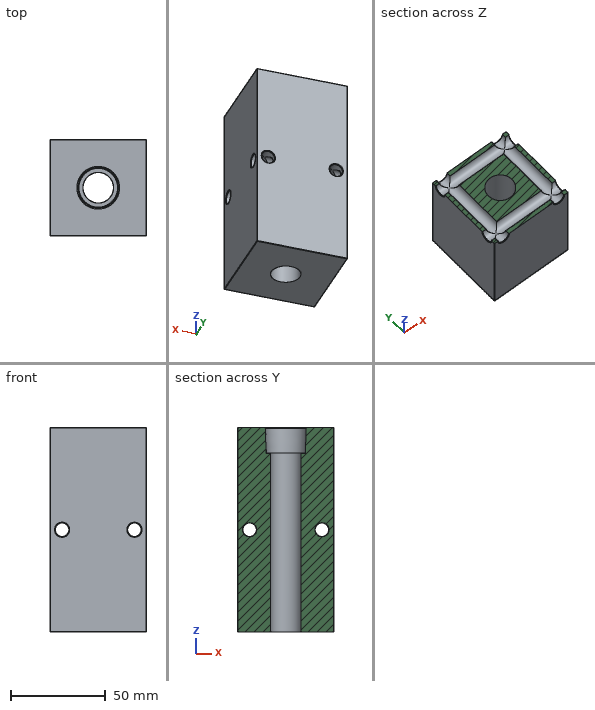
import cadquery as cq

BLOCK_WIDTH = 50.8
BLOCK_HEIGHT = 107.95
EDGE_CHAMFER = 0.3

BORE_DIAMETER = 16.0
COUNTERBORE_MOUTH_DIAMETER = 22.5
COUNTERBORE_DIAMETER = 21.3
COUNTERBORE_DEPTH = 13.6
COUNTERBORE_TAPER = 1 / 16

CROSS_HOLE_DIAMETER = 7.14
CROSS_HOLE_CHAMFER = 0.4
CROSS_HOLE_SPACING = 38.1


def make_block():
    """Square block with all its outer edges broken."""
    block = cq.Workplane("XY").box(BLOCK_WIDTH, BLOCK_WIDTH, BLOCK_HEIGHT)
    return block.edges().chamfer(EDGE_CHAMFER)


def make_cone(mouth_diameter, end_diameter, depth):
    """Cutter with its mouth at Z = 0, narrowing downward to the end diameter."""
    base = cq.Vector(0, 0, -depth)
    return cq.Workplane(cq.Solid.makeCone(end_diameter / 2, mouth_diameter / 2, depth, base))


def make_bore():
    """Cutter for the through bore, its tapered counterbore and the counterbore chamfer."""
    top = BLOCK_HEIGHT / 2
    bore = cq.Workplane("XY").circle(BORE_DIAMETER / 2).extrude(top, both=True)
    floor_diameter = COUNTERBORE_DIAMETER - COUNTERBORE_TAPER * COUNTERBORE_DEPTH
    counterbore = make_cone(COUNTERBORE_DIAMETER, floor_diameter, COUNTERBORE_DEPTH)
    chamfer_depth = (COUNTERBORE_MOUTH_DIAMETER - COUNTERBORE_DIAMETER) / 2
    chamfer = make_cone(COUNTERBORE_MOUTH_DIAMETER, COUNTERBORE_DIAMETER, chamfer_depth)
    return bore.union(counterbore.union(chamfer).translate((0, 0, top)))


def make_cross_hole():
    """Cutter along Z for a hole through the block width, chamfered at both mouths."""
    mouth = BLOCK_WIDTH / 2
    hole = cq.Workplane("XY").circle(CROSS_HOLE_DIAMETER / 2).extrude(mouth, both=True)
    mouth_diameter = CROSS_HOLE_DIAMETER + 2 * CROSS_HOLE_CHAMFER
    chamfer = make_cone(mouth_diameter, CROSS_HOLE_DIAMETER, CROSS_HOLE_CHAMFER)
    chamfer = chamfer.translate((0, 0, mouth))
    return hole.union(chamfer).union(chamfer.mirror("XY"))


def cut_cross_holes(block):
    """Cut the pair of holes along X and the pair along Y."""
    along_x = make_cross_hole().rotate((0, 0, 0), (0, 1, 0), 90)
    along_y = make_cross_hole().rotate((0, 0, 0), (1, 0, 0), 90)
    for side in (-1, 1):
        offset = side * CROSS_HOLE_SPACING / 2
        block = block.cut(along_x.translate((0, offset, 0)))
        block = block.cut(along_y.translate((offset, 0, 0)))
    return block


result = cut_cross_holes(make_block().cut(make_bore()))